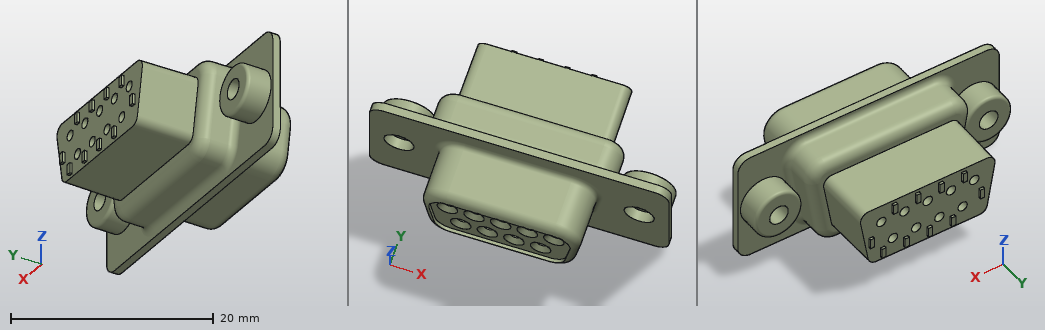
import cadquery as cq
import math


flange_width = 31.19
flange_height = 12.93
flange_thickness = 0.87
flange_corner_radius = 1.5

side_slant = math.radians(10)

shell_half_height = 4.0
shell_corner_radius = 2.6
shell_corner_x = 5.6
shell_length = 6.26
shell_nose_radius = 1.05
shell_lip = 0.85
shell_recess_depth = 0.4
shell_root_radius = 0.55
contact_face_y = shell_recess_depth - shell_length

housing_half_height = 5.4
housing_corner_radius = 2.0
housing_corner_x = 7.65
housing_back = 4.9
housing_rim_radius = 1.22
housing_root_radius = 0.75

body_half_height = 3.55
body_corner_radius = 1.0
body_corner_x = 7.02
body_draft = 0.06
body_back = 11.35

contact_pitch = 2.77
contact_row_z = 1.42
upper_contacts = 5
lower_contacts = 4
contact_diameter = 1.1
lead_in_diameter = 2.13
lead_in_angle = 90

boss_spacing = 25.0
boss_diameter = 5.56
boss_back = 3.56
boss_rim_radius = 0.35
boss_spigot_diameter = 4.75
fixing_bore_diameter = 2.2
fixing_counterbore_diameter = 3.12
fixing_counterbore_depth = 1.12

pad_width = 0.5
pad_height = 1.17
pad_thickness = 0.28
pad_shift_x = -0.14
pad_row_z = 2.58
end_pad_z = -0.61
end_pad_left_x = -6.34
end_pad_right_x = 6.78


def plane_at(y):
    """Sketch plane at the given Y, with local x = X, local y = Z and normal -Y."""
    return cq.Workplane("XZ", origin=(0, y, 0))


def d_outline(plane, half_height, radius, corner_x):
    """Closed D outline: wide top, narrow bottom, slanted sides, four round corners."""
    centre_z = half_height - radius
    lower_x = corner_x - 2 * centre_z * math.tan(side_slant)

    def on_corner(centre_x, centre_height, angle):
        return (
            centre_x + radius * math.cos(angle),
            centre_height + radius * math.sin(angle),
        )

    def mirrored(point):
        return (-point[0], point[1])

    upper_mid_angle = (math.pi / 2 - side_slant) / 2
    lower_mid_angle = (-math.pi / 2 - side_slant) / 2
    upper_top = (corner_x, half_height)
    upper_mid = on_corner(corner_x, centre_z, upper_mid_angle)
    upper_side = on_corner(corner_x, centre_z, -side_slant)
    lower_side = on_corner(lower_x, -centre_z, -side_slant)
    lower_mid = on_corner(lower_x, -centre_z, lower_mid_angle)
    lower_bottom = (lower_x, -half_height)
    return (
        plane.moveTo(*upper_top)
        .threePointArc(upper_mid, upper_side)
        .lineTo(*lower_side)
        .threePointArc(lower_mid, lower_bottom)
        .lineTo(*mirrored(lower_bottom))
        .threePointArc(mirrored(lower_mid), mirrored(lower_side))
        .lineTo(*mirrored(upper_side))
        .threePointArc(mirrored(upper_mid), mirrored(upper_top))
        .close()
    )


def make_flange():
    return (
        plane_at(flange_thickness)
        .rect(flange_width, flange_height)
        .extrude(flange_thickness)
        .edges("|Y")
        .fillet(flange_corner_radius)
    )


def add_shell(part):
    """Mating shell with a rounded nose and a shallow recess inside its lip."""
    outline = d_outline(plane_at(0), shell_half_height, shell_corner_radius, shell_corner_x)
    shell = outline.extrude(shell_length)
    shell = shell.faces("<Y").edges().fillet(shell_nose_radius)
    recess = d_outline(
        plane_at(contact_face_y),
        shell_half_height - shell_lip,
        shell_corner_radius - shell_lip,
        shell_corner_x,
    )
    return part.union(shell.cut(recess.extrude(shell_recess_depth)))


def add_housing(part):
    """Rear shield housing with a rounded rim."""
    outline = d_outline(
        plane_at(housing_back), housing_half_height, housing_corner_radius, housing_corner_x
    )
    housing = outline.extrude(housing_back - flange_thickness)
    return part.union(housing.faces(">Y").edges().fillet(housing_rim_radius))


def root_edges(part, y, half_height):
    """Edges at the given Y inside the flange outline, where a D prism meets the flange."""
    margin = 0.01
    reach_x = flange_width / 2 - flange_corner_radius
    box = cq.selectors.BoxSelector(
        (-reach_x, y - margin, -half_height - margin),
        (reach_x, y + margin, half_height + margin),
        boundingbox=True,
    )
    return part.edges(box)


def fillet_roots(part):
    part = root_edges(part, 0, shell_half_height).fillet(shell_root_radius)
    return root_edges(part, flange_thickness, housing_half_height).fillet(housing_root_radius)


def add_body(part):
    """Insulator body behind the housing, drafted towards its rear face."""
    rear = d_outline(plane_at(body_back), body_half_height, body_corner_radius, body_corner_x)
    front = d_outline(
        rear.workplane(offset=body_back - housing_back),
        body_half_height + body_draft,
        body_corner_radius,
        body_corner_x + body_draft,
    )
    return part.union(front.loft(ruled=True))


def row_positions(count):
    return [(i - (count - 1) / 2) * contact_pitch for i in range(count)]


def add_marker_pads(part):
    """Rectangular pads on the rear face: four above, four below and one at each end."""
    upper = [(x + pad_shift_x, pad_row_z) for x in row_positions(lower_contacts)]
    lower = [(x + pad_shift_x, -pad_row_z) for x in row_positions(upper_contacts)[1:]]
    ends = [(end_pad_left_x, end_pad_z), (end_pad_right_x, end_pad_z)]
    pads = (
        plane_at(body_back + pad_thickness)
        .pushPoints(upper + lower + ends)
        .rect(pad_width, pad_height)
        .extrude(pad_thickness)
    )
    return part.union(pads)


def cut_contacts(part):
    """Through holes with conical lead-ins on the recessed contact face."""
    points = [(x, contact_row_z) for x in row_positions(upper_contacts)]
    points += [(x, -contact_row_z) for x in row_positions(lower_contacts)]
    return (
        part.copyWorkplane(plane_at(contact_face_y))
        .pushPoints(points)
        .cskHole(contact_diameter, lead_in_diameter, lead_in_angle)
    )


def add_fixing_boss(part, x):
    """Boss behind the flange, its spigot flush with the flange front, with a stepped bore."""

    def cylinder(back, diameter, length):
        return plane_at(back).center(x, 0).circle(diameter / 2).extrude(length)

    boss = cylinder(boss_back, boss_diameter, boss_back - flange_thickness)
    boss = boss.faces(">Y").edges().fillet(boss_rim_radius)
    spigot = cylinder(flange_thickness, boss_spigot_diameter, flange_thickness)
    bore = cylinder(boss_back, fixing_bore_diameter, boss_back)
    counterbore = cylinder(
        fixing_counterbore_depth, fixing_counterbore_diameter, fixing_counterbore_depth
    )
    part = part.cut(spigot, clean=False)
    part = part.union(boss, clean=False)
    part = part.union(spigot, clean=False)
    return part.cut(bore.union(counterbore), clean=False)


result = make_flange()
result = add_shell(result)
result = add_housing(result)
result = fillet_roots(result)
result = add_body(result)
result = add_marker_pads(result)
result = cut_contacts(result)
for side in (-1, 1):
    result = add_fixing_boss(result, side * boss_spacing / 2)